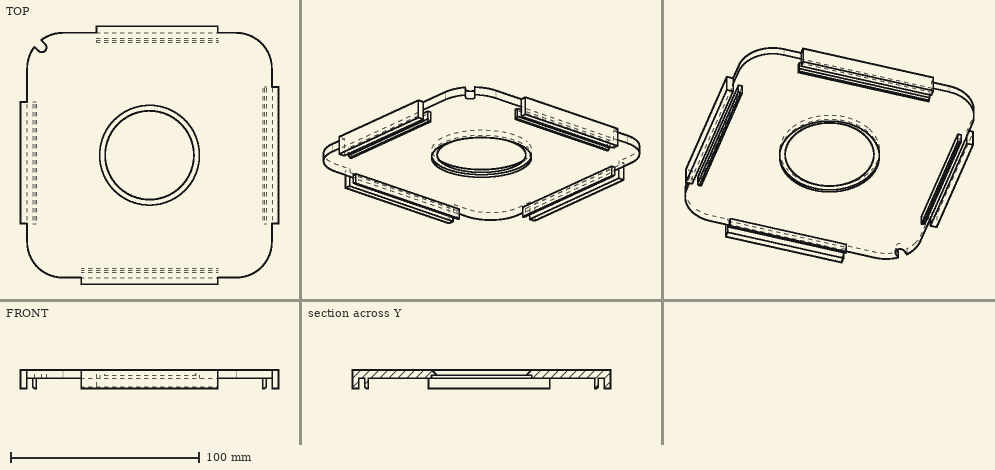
import cadquery as cq

plate_side = 130.0
plate_thickness = 4.5
corner_radius = 19.0
total_height = 10.0
plate_bottom = total_height - plate_thickness
plate_edge = plate_side / 2

tab_thickness = 3.5
tab_reach = 36.25
tab_short_reach = 28.25

clip_outer = 62.0
clip_thickness = 2.0
clip_chamfer = 1.0

lip_diameter = 47.0
countersink_diameter = 53.0
countersink_depth = (countersink_diameter - lip_diameter) / 2

notch_width = 5.0
notch_center = 57.2
notch_length = 20.0
notch_direction = 135


def make_plate():
    """Square plate with rounded vertical corners."""
    return (
        cq.Workplane("XY", origin=(0, 0, plate_bottom))
        .rect(plate_side, plate_side)
        .extrude(plate_thickness)
        .edges("|Z")
        .fillet(corner_radius)
    )


def make_tab(start, end):
    """Tab on the -Y edge, spanning start to end along X."""
    return cq.Workplane("XY", origin=(start, -plate_edge - tab_thickness, 0)).box(
        end - start, tab_thickness, total_height, centered=False
    )


def make_clip(start, end):
    """Rib behind the -Y tab, spanning start to end along X, with its lower outer edge bevelled."""
    inner = -clip_outer + clip_thickness
    profile = [
        (-clip_outer, plate_bottom),
        (-clip_outer, clip_chamfer),
        (-clip_outer + clip_chamfer, 0),
        (inner, 0),
        (inner, plate_bottom),
    ]
    return cq.Workplane("YZ", origin=(start, 0, 0)).polyline(profile).close().extrude(end - start)


def make_opening():
    """45 degree countersink from the top, meeting a round recess from below in a sharp lip."""
    lip_height = total_height - countersink_depth
    recess = cq.Workplane("XY").circle(countersink_diameter / 2).extrude(lip_height)
    countersink = (
        cq.Workplane("XY", origin=(0, 0, lip_height))
        .circle(lip_diameter / 2)
        .workplane(offset=countersink_depth)
        .circle(countersink_diameter / 2)
        .loft()
    )
    return recess.union(countersink)


def make_notch():
    """Round-ended slot running out diagonally through the -X +Y corner."""
    slot = cq.Workplane("XY").circle(notch_width / 2).extrude(total_height)
    mouth = cq.Workplane("XY").box(
        notch_length, notch_width, total_height, centered=(False, True, False)
    )
    return (
        slot.union(mouth)
        .rotate((0, 0, 0), (0, 0, 1), notch_direction)
        .translate((-notch_center, notch_center, 0))
    )


tab_spans = [
    (0, -tab_reach, tab_reach),
    (90, -tab_reach, tab_reach),
    (180, -tab_reach, tab_short_reach),
    (270, -tab_short_reach, tab_reach),
]

result = make_plate()
for angle, start, end in tab_spans:
    side = make_tab(start, end).union(make_clip(start, end))
    result = result.union(side.rotate((0, 0, 0), (0, 0, 1), angle))
result = result.cut(make_opening()).cut(make_notch())